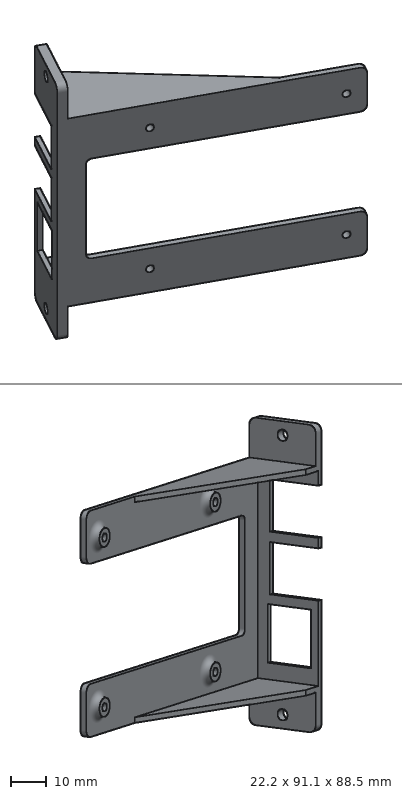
import cadquery as cq

plate_width = 22.2
plate_height = 88.5
plate_thickness = 3.1
corner_radius = 2.2
screw_hole_diameter = 3.3
screw_hole_offset = 40.2

depth = 91.1
wall_thickness = 2.0
bracket_height = 65.1
flange_thickness = 1.6
taper_start = 8.2
taper_end = 65.9
recessed_plate_thickness = 1.6

arm_gap_height = 34.5
arm_gap_start = 8.5
gap_corner_radius = 1.6

slot_depth = 16.2
slot_height = 15.0
slot_centers = (19.1, 1.1)
window_width = 14.4
window_height = 16.85
window_left = 2.55
window_bottom = -26.15

boss_diameter = 5.5
boss_height = 2.2
boss_flare_radius = 2.0
boss_hole_diameter = 2.4
boss_y_positions = (27.2, 85.0)
boss_z_offset = 24.4

wall_face_x = plate_width - wall_thickness
inner_height = bracket_height - 2 * flange_thickness


def block(x_start, x_end, y_start, y_end, z_start, z_end):
    """Box spanning the given limits."""
    size = (x_end - x_start, y_end - y_start, z_end - z_start)
    return cq.Workplane("XY").box(*size, centered=False).translate((x_start, y_start, z_start))


def centered_block(x_start, x_end, y_start, y_end, height, z_center=0):
    """Box whose height is centred on z_center."""
    return block(x_start, x_end, y_start, y_end, z_center - height / 2, z_center + height / 2)


def x_cylinder(diameter, x_start, x_end, y, z):
    """Cylinder along X at the given Y and Z."""
    return (
        cq.Workplane("YZ", origin=(x_start, y, z))
        .circle(diameter / 2)
        .extrude(x_end - x_start)
    )


def front_plate():
    plate = centered_block(0, plate_width, 0, plate_thickness, plate_height)
    return plate.edges("|Y").fillet(corner_radius)


def rear_wall():
    wall = centered_block(wall_face_x, plate_width, 0, depth, bracket_height)
    gap = centered_block(wall_face_x, plate_width, arm_gap_start, depth, arm_gap_height)
    gap = gap.edges("|X and <Y").fillet(gap_corner_radius)
    return wall.cut(gap).edges("|X and >Y").fillet(corner_radius)


def flange(z_bottom):
    """Tapered flange that is widest at the front plate."""
    outline = [
        (0, 0),
        (plate_width, 0),
        (plate_width, taper_end),
        (wall_face_x, taper_end),
        (0, taper_start),
    ]
    return (
        cq.Workplane("XY", origin=(0, 0, z_bottom))
        .polyline(outline)
        .close()
        .extrude(flange_thickness)
    )


def standoff(y, z):
    """Round boss with a concave flare where it meets the wall."""
    radius = boss_diameter / 2
    arc_offset = boss_flare_radius * (1 - 0.5**0.5)
    profile = (
        cq.Workplane("XY")
        .moveTo(wall_face_x, 0)
        .lineTo(wall_face_x - boss_height, 0)
        .lineTo(wall_face_x - boss_height, radius)
        .lineTo(wall_face_x - boss_flare_radius, radius)
        .threePointArc(
            (wall_face_x - arc_offset, radius + arc_offset),
            (wall_face_x, radius + boss_flare_radius),
        )
        .close()
    )
    return profile.revolve(360, (0, 0, 0), (1, 0, 0)).translate((0, y, z))


result = front_plate().union(rear_wall())
for side in (-1, 1):
    flange_center = side * (bracket_height - flange_thickness) / 2
    result = result.union(flange(flange_center - flange_thickness / 2))

result = result.cut(
    centered_block(0, wall_face_x, recessed_plate_thickness, plate_thickness, inner_height)
)

for slot_center in slot_centers:
    result = result.cut(centered_block(0, slot_depth, 0, plate_thickness, slot_height, slot_center))

result = result.cut(
    block(
        window_left,
        window_left + window_width,
        0,
        plate_thickness,
        window_bottom,
        window_bottom + window_height,
    )
)

for side in (-1, 1):
    boss_z = side * boss_z_offset
    for boss_y in boss_y_positions:
        result = result.union(standoff(boss_y, boss_z))
        result = result.cut(x_cylinder(boss_hole_diameter, 0, plate_width, boss_y, boss_z))
    screw_hole = (
        cq.Workplane("XZ", origin=(plate_width / 2, 0, side * screw_hole_offset))
        .circle(screw_hole_diameter / 2)
        .extrude(-plate_thickness)
    )
    result = result.cut(screw_hole)